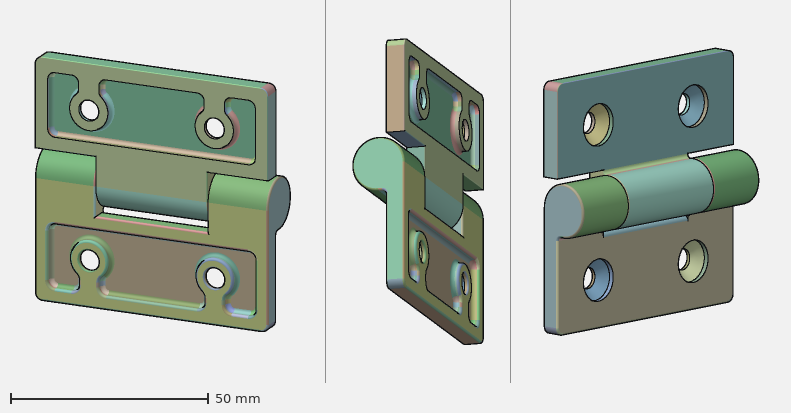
import cadquery as cq
SIZE = 65.0
BARREL_DIAMETER = 14.0
BARREL_RADIUS = BARREL_DIAMETER / 2
PLATE_THICKNESS = 5.0
HALF = SIZE / 2
FRONT_Y = -BARREL_RADIUS
BACK_Y = FRONT_Y + PLATE_THICKNESS

KNUCKLE_WIDTH = 31.2
KNUCKLE_CLEARANCE = 1.05
ROOT_RADIUS = 1.0
PLATE_END_Z = BARREL_RADIUS + KNUCKLE_CLEARANCE

CORNER_RADIUS = 2.0
UPPER_EDGE_RADIUS = 0.2
LOWER_EDGE_RADIUS = 0.5
NOTCH_BACK_RADIUS = 1.3

HOLE_DIAMETER = 5.5
HOLE_SPACING = 35.0
HOLE_X_POSITIONS = (-HOLE_SPACING / 2, HOLE_SPACING / 2)
HOLE_Z = 20.0
HOLE_MOUTH_RADIUS = 0.4
COUNTERSINK_DIAMETER = 10.9
COUNTERSINK_DEPTH = 2.55
RECESS_DEPTH = 1.3

POCKET_WIDTH = 57.85
POCKET_NEAR_Z = 11.65
POCKET_FAR_Z = 28.85
POCKET_DEPTH = 2.1
POCKET_CORNER_RADIUS = 2.0
POCKET_FLOOR_RADIUS = 1.0
POCKET_RIM_RADIUS = 0.65
BOSS_DIAMETER = 10.65
NECK_WIDTH = 5.6


def leaf_blank():
    """Lower leaf over the full width: plate and barrel in one profile."""
    return (
        cq.Workplane("YZ", origin=(-HALF, 0, 0))
        .moveTo(0, BARREL_RADIUS)
        .threePointArc((BARREL_RADIUS, 0), (0, -BARREL_RADIUS))
        .lineTo(BACK_Y + ROOT_RADIUS, -BARREL_RADIUS)
        .radiusArc((BACK_Y, -BARREL_RADIUS - ROOT_RADIUS), -ROOT_RADIUS)
        .lineTo(BACK_Y, -HALF)
        .lineTo(FRONT_Y, -HALF)
        .lineTo(FRONT_Y, 0)
        .radiusArc((0, BARREL_RADIUS), BARREL_RADIUS)
        .close()
        .extrude(SIZE)
        .edges("|Y and <Z")
        .fillet(CORNER_RADIUS)
    )


def knuckle_gap(center_x, width):
    """Space beside a knuckle, from the plate's end to above the barrel."""
    return cq.Workplane("XY").box(width, 2 * BARREL_DIAMETER, 2 * PLATE_END_Z).translate((center_x, 0, 0))


def pocket():
    """Pocket volume of the lower leaf, with rounded corners and floor."""
    floor_y = FRONT_Y + POCKET_DEPTH
    front = cq.Workplane("XZ", origin=(0, floor_y, 0))
    mid_z = -(POCKET_NEAR_Z + POCKET_FAR_Z) / 2
    height = POCKET_FAR_Z - POCKET_NEAR_Z
    volume = front.center(0, mid_z).rect(POCKET_WIDTH, height).extrude(POCKET_DEPTH)
    for x in HOLE_X_POSITIONS:
        boss = front.center(x, -HOLE_Z).circle(BOSS_DIAMETER / 2).extrude(POCKET_DEPTH)
        neck_length = POCKET_FAR_Z - HOLE_Z
        neck = front.center(x, -HOLE_Z - neck_length / 2).rect(NECK_WIDTH, neck_length).extrude(POCKET_DEPTH)
        volume = volume.cut(boss.union(neck))
    volume = volume.edges("|Y").fillet(POCKET_CORNER_RADIUS)
    return volume.faces(">Y").edges().fillet(POCKET_FLOOR_RADIUS)


def cut_screw_holes(leaf):
    """Two through holes, each widening in a cone to a round recess in the back."""
    hole_radius = HOLE_DIAMETER / 2
    recess_radius = COUNTERSINK_DIAMETER / 2
    recess_y = BACK_Y - RECESS_DEPTH
    bore_end_y = recess_y - COUNTERSINK_DEPTH
    for x in HOLE_X_POSITIONS:
        hole = (
            cq.Workplane("XY", origin=(x, 0, -HOLE_Z))
            .moveTo(0, FRONT_Y)
            .lineTo(hole_radius, FRONT_Y)
            .lineTo(hole_radius, bore_end_y)
            .lineTo(recess_radius, recess_y)
            .lineTo(recess_radius, BACK_Y)
            .lineTo(0, BACK_Y)
            .close()
            .revolve(360, (0, 0), (0, 1))
        )
        leaf = leaf.cut(hole)
    return leaf


def notch_back_rounding():
    """Waste removed to round the plate's back edge below the middle knuckle."""
    return (
        cq.Workplane("YZ", origin=(-KNUCKLE_WIDTH / 2, 0, 0))
        .moveTo(BACK_Y - NOTCH_BACK_RADIUS, -PLATE_END_Z)
        .lineTo(BACK_Y, -PLATE_END_Z)
        .lineTo(BACK_Y, -PLATE_END_Z - NOTCH_BACK_RADIUS)
        .radiusArc((BACK_Y - NOTCH_BACK_RADIUS, -PLATE_END_Z), -NOTCH_BACK_RADIUS)
        .close()
        .extrude(KNUCKLE_WIDTH)
    )


def front_opening_edges(leaf):
    """Edges around every opening in the front face."""
    openings = leaf.faces("<Y").val().innerWires()
    return leaf.newObject([edge for wire in openings for edge in wire.Edges()])


def hole_mouth_edges(leaf):
    """Front edges of the screw holes, the only openings that are one closed circle."""
    openings = leaf.faces("<Y").val().innerWires()
    return leaf.newObject([wire.Edges()[0] for wire in openings if len(wire.Edges()) == 1])


def round_outer_edges(leaf, radius):
    """Round the side outlines, the far edge of the plate and its front edge facing the other leaf."""
    side_edges = leaf.faces("|X").edges("not |Y")
    far_edges = leaf.faces("<Z").edges("|X")
    near_edge = leaf.edges(cq.selectors.NearestToPointSelector((0, FRONT_Y, -PLATE_END_Z)))
    return leaf.newObject(side_edges.vals() + far_edges.vals() + near_edge.vals()).fillet(radius)


def make_lower_leaf():
    """Leaf with the two outer knuckles."""
    leaf = leaf_blank().cut(knuckle_gap(0, KNUCKLE_WIDTH))
    leaf = round_outer_edges(leaf, LOWER_EDGE_RADIUS)
    leaf = leaf.cut(notch_back_rounding())
    leaf = leaf.cut(pocket())
    leaf = front_opening_edges(leaf).fillet(POCKET_RIM_RADIUS)
    leaf = cut_screw_holes(leaf)
    return hole_mouth_edges(leaf).fillet(HOLE_MOUTH_RADIUS)


def make_upper_leaf():
    """Leaf with the middle knuckle, made hanging down and then mirrored upward."""
    leaf = leaf_blank()
    ear_width = (SIZE - KNUCKLE_WIDTH) / 2
    ear_x = HALF - ear_width / 2
    for center_x in (-ear_x, ear_x):
        leaf = leaf.cut(knuckle_gap(center_x, ear_width))
    ear_edges = leaf.faces("|Z").edges("|X")
    side_edges = leaf.faces("|X").edges("not |Y")
    leaf = leaf.newObject(side_edges.vals() + ear_edges.vals()).fillet(UPPER_EDGE_RADIUS)
    leaf = leaf.cut(pocket())
    return cut_screw_holes(leaf).mirror("XY")


lower_leaf = make_lower_leaf()
upper_leaf = make_upper_leaf()

result = cq.Compound.makeCompound([lower_leaf.val(), upper_leaf.val()])